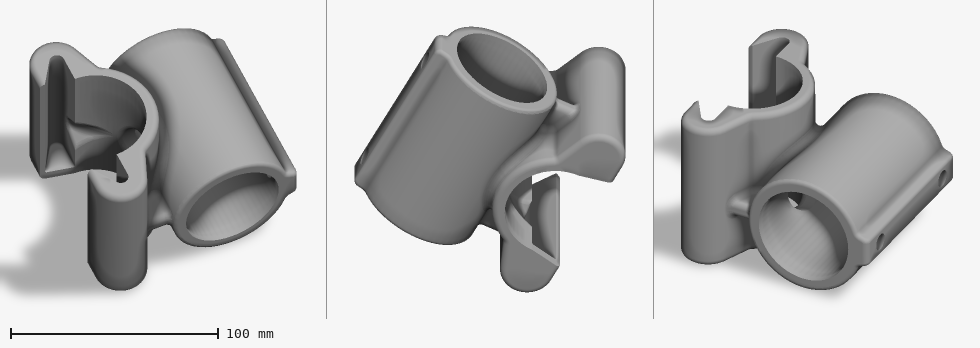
import cadquery as cq
import math

wall_outer_radius = 30.5
bore_radius = 24.4
pipe_length = 89.2
clamp_height = 78.0
axis_distance = 52.0
edge_round = 3.0
end_round = 2.0

lug_tip_y = 35.0
lug_tip_half_height = 7.0
lug_flank_angle = 20.0
lug_hole_diameter = 8.5
lug_hole_inset = 13.0

clamp_width = 101.0
hook_radius = 13.0
hook_center_y = -4.0
hook_slope_angle = 21.0
mouth_half_width = 27.9

pocket_radius = 3.6
pocket_center_x = 37.4
pocket_slope_angle = 33.0
pocket_floor = 5.0
pocket_floor_round = 1.0

web_half_width = 40.0
web_thickness = 8.0

window_radius = 15.0

groove_floor_half_width = 1.0
groove_floor_round = 4.5
groove_wall_angle = 45.0
groove_mouth_round = 2.8

margin = 0.1

clamp_bottom = -wall_outer_radius
clamp_top = clamp_bottom + clamp_height
clamp_y = -axis_distance
hook_center_x = clamp_width / 2 - hook_radius
hook_front_y = hook_center_y - hook_radius


def polar(radius, angle):
    """Point at a radius and an angle in degrees from the +X direction."""
    return (radius * math.cos(math.radians(angle)), radius * math.sin(math.radians(angle)))


def mirrored(point):
    return (-point[0], point[1])


def both_sides(shape):
    """The shape together with its mirror image across the YZ plane."""
    return shape.union(shape.mirror("YZ"))


def pipe_with_lug():
    """Solid pipe socket along X with the lug blended into its back."""
    lug_base_half_height = lug_tip_half_height + lug_tip_y * math.tan(math.radians(lug_flank_angle))
    pipe = cq.Workplane("YZ").circle(wall_outer_radius).extrude(pipe_length / 2, both=True)
    lug = (
        cq.Workplane("YZ")
        .polyline([
            (0, -lug_base_half_height),
            (lug_tip_y, -lug_tip_half_height),
            (lug_tip_y, lug_tip_half_height),
            (0, lug_base_half_height),
        ])
        .close()
        .extrude(pipe_length / 2, both=True)
        .edges("|Z and >Y")
        .fillet(edge_round)
    )
    body = pipe.union(lug)
    seam_box = cq.selectors.BoxSelector(
        (-pipe_length, bore_radius, -bore_radius),
        (pipe_length, wall_outer_radius - margin, bore_radius),
    )
    body = body.edges("|X").edges(seam_box).fillet(edge_round)
    return body.faces("<X or >X").edges().fillet(end_round)


def clamp_block():
    """Clamp ring and hooks as one filled block with its outer edges rounded."""
    slope = math.radians(hook_slope_angle)
    offset = polar(hook_radius, 90 - hook_slope_angle)
    hook_top = (hook_center_x + offset[0], hook_center_y + offset[1])
    reach = hook_top[0] * math.sin(slope) + hook_top[1] * math.cos(slope)
    meeting_angle = 90 - hook_slope_angle - math.degrees(math.acos(reach / wall_outer_radius))
    ring_end = polar(wall_outer_radius, meeting_angle)
    hook_side = (hook_center_x + hook_radius, hook_center_y)
    hook_front = (hook_center_x, hook_front_y)
    block = (
        cq.Workplane("XY", origin=(0, clamp_y, clamp_bottom))
        .moveTo(*mirrored(hook_front))
        .lineTo(*hook_front)
        .threePointArc(hook_side, hook_top)
        .lineTo(*ring_end)
        .threePointArc((0, wall_outer_radius), mirrored(ring_end))
        .lineTo(*mirrored(hook_top))
        .threePointArc(mirrored(hook_side), mirrored(hook_front))
        .close()
        .extrude(clamp_height)
    )
    corner_y = clamp_y + ring_end[1]
    corner_box = cq.selectors.BoxSelector(
        (-wall_outer_radius, corner_y - margin, clamp_bottom),
        (wall_outer_radius, corner_y + margin, clamp_top),
    )
    block = block.edges("|Z").edges(corner_box).fillet(edge_round)
    return block.faces("<Z or >Z").edges().fillet(edge_round)


def web():
    """Flat web at the height of the pipe axis, reaching from the pipe to the hooks."""
    return (
        cq.Workplane("XY")
        .box(2 * web_half_width, axis_distance, web_thickness, centered=(True, False, True))
        .translate((0, clamp_y, 0))
        .edges("|Y")
        .fillet(edge_round)
    )


def clamp_opening():
    """Clamp bore and the mouth that widens from it toward the front."""
    return (
        cq.Workplane("XY", origin=(0, clamp_y, clamp_bottom))
        .moveTo(bore_radius, 0)
        .threePointArc((0, bore_radius), (-bore_radius, 0))
        .lineTo(-mouth_half_width, hook_front_y)
        .lineTo(mouth_half_width, hook_front_y)
        .close()
        .extrude(clamp_height)
    )


def hook_pocket():
    """Tapered pocket of the +X hook, with its floor edge rounded."""
    center_y = -pocket_radius
    inner_x = bore_radius - edge_round
    nose = polar(pocket_radius, pocket_slope_angle - 90)
    nose_end = (pocket_center_x + nose[0], center_y + nose[1])
    run = nose_end[0] - inner_x
    slope_end = (inner_x, nose_end[1] - run * math.tan(math.radians(pocket_slope_angle)))
    return (
        cq.Workplane("XY", origin=(0, clamp_y, clamp_bottom + pocket_floor))
        .moveTo(inner_x, 0)
        .lineTo(pocket_center_x, 0)
        .threePointArc((pocket_center_x + pocket_radius, center_y), nose_end)
        .lineTo(*slope_end)
        .close()
        .extrude(clamp_height)
        .faces("<Z")
        .edges("not <X")
        .fillet(pocket_floor_round)
    )


def relief_groove():
    """Groove across the inner +X corner: its flat floor touches the bore at 45 degrees."""
    wall = math.radians(groove_wall_angle)
    depth = bore_radius
    bend_z = groove_floor_half_width + groove_floor_round * math.sin(wall)
    bend_depth = groove_floor_round * (1 - math.cos(wall))
    half_bend_z = groove_floor_half_width + groove_floor_round * math.sin(wall / 2)
    half_bend_depth = groove_floor_round * (1 - math.cos(wall / 2))
    top_z = bend_z + (depth - bend_depth) * math.tan(wall)
    floor = polar(bore_radius, 45)
    profile_plane = cq.Plane(
        origin=(floor[0], clamp_y + floor[1], 0),
        xDir=(-1, -1, 0),
        normal=(1, -1, 0),
    )
    prism = (
        cq.Workplane(profile_plane)
        .moveTo(0, -groove_floor_half_width)
        .lineTo(0, groove_floor_half_width)
        .threePointArc((half_bend_depth, half_bend_z), (bend_depth, bend_z))
        .lineTo(depth, top_z)
        .lineTo(depth, -top_z)
        .lineTo(bend_depth, -bend_z)
        .threePointArc((half_bend_depth, -half_bend_z), (0, -groove_floor_half_width))
        .close()
        .extrude(2 * bore_radius)
    )
    corner = (
        cq.Workplane("XY", origin=(0, clamp_y, clamp_bottom))
        .rect(2 * bore_radius, bore_radius, centered=False)
        .extrude(clamp_height)
    )
    return prism.intersect(corner)


def blend_joints(body):
    """Round the edges where the pipe, the clamp and the web meet."""
    back_offset = axis_distance - wall_outer_radius
    half_joint_height = math.sqrt(wall_outer_radius**2 - back_offset**2) + margin
    joint_box = cq.selectors.BoxSelector(
        (-clamp_width / 2, clamp_y, -half_joint_height),
        (clamp_width / 2, 0, half_joint_height),
        boundingbox=True,
    )
    return body.edges(joint_box).edges("not |Y").fillet(edge_round)


def pipe_bore():
    return cq.Workplane("YZ").circle(bore_radius).extrude(pipe_length / 2, both=True)


def window():
    """Round opening along Y from the clamp bore into the pipe bore."""
    return cq.Workplane("XZ").circle(window_radius).extrude(axis_distance)


def lug_hole():
    """Screw hole through the lug, near the +X end of the pipe."""
    return (
        cq.Workplane("XZ")
        .center(pipe_length / 2 - lug_hole_inset, 0)
        .circle(lug_hole_diameter / 2)
        .extrude(-lug_tip_y)
    )


def round_window(body):
    """Round the rim of the window in the clamp bore."""
    rim_box = cq.selectors.BoxSelector(
        (-window_radius - margin, clamp_y + window_radius, -window_radius - margin),
        (window_radius + margin, clamp_y + bore_radius + margin, window_radius + margin),
        boundingbox=True,
    )
    return body.edges(rim_box).fillet(edge_round)


def round_groove_mouths(body):
    """Round each groove's edges on the bore and on the back face of the pocket."""
    floor_start = polar(bore_radius, 45)[0]
    floor_end_x = 2 * floor_start
    for side in (-1, 1):
        x_limits = sorted((side * (floor_start - margin), side * (floor_end_x + margin)))
        mouth_box = cq.selectors.BoxSelector(
            (x_limits[0], clamp_y - margin, -window_radius),
            (x_limits[1], clamp_y + floor_start + margin, window_radius),
            boundingbox=True,
        )
        bore_end = "<X" if side > 0 else ">X"
        inner_lines = f"|(1,{-side},0)"
        mouth = body.edges(mouth_box).edges(f"not ({bore_end} or {inner_lines})")
        body = mouth.fillet(groove_mouth_round)
    return body


body = blend_joints(pipe_with_lug().union(clamp_block()).union(web()))
body = body.cut(clamp_opening()).cut(pipe_bore()).cut(window())
body = round_window(body)
body = body.cut(both_sides(hook_pocket())).cut(both_sides(lug_hole()))
body = body.cut(both_sides(relief_groove()))
result = round_groove_mouths(body)